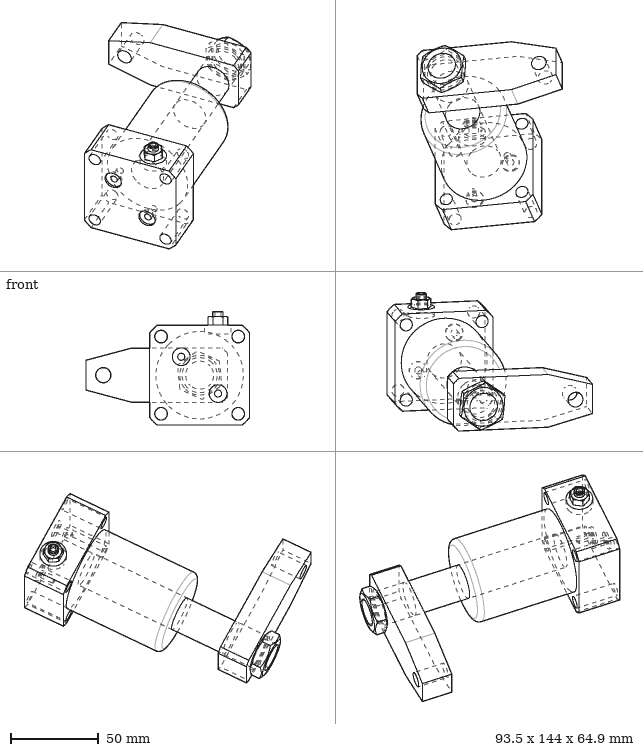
import cadquery as cq
import math


flange_thickness = 25.0
cylinder_end = 85.0
arm_start = 118.0
arm_end = 136.1
nut_end = 144.0

flange_width = 57.0
flange_corner_radius = 37.5
cylinder_diameter = 50.0
cylinder_fillet = 3.0
mount_hole_diameter = 7.0
mount_hole_spacing = 44.0

port_offset = 10.5
port_seal_diameter = 10.1
port_seal_depth = 1.3
port_drill_diameter = 4.0
port_drill_depth = 10.0
drill_point_angle = 118

rod_diameter = 20.0
rod_thread_diameter = 16.0

arm_tip_x = -65.0
arm_heel_x = 16.0
arm_height = 31.0
arm_tip_height = 17.1
arm_taper_length = 25.9
arm_heel_chamfer = 3.0
arm_hole_x = -55.0
arm_hole_diameter = 8.5

nut_across_flats = 24.0
nut_face_diameter = 22.8
nut_turn = 5.6

valve_x = 10.4
valve_y = 9.2
valve_plug_diameter = 15.3
valve_plug_depth = 5.0
valve_across_flats = 10.0
valve_hex_height = 5.0
valve_hex_face_diameter = 10.0
valve_nipple_diameter = 6.0
valve_nipple_height = 2.9
valve_nipple_chamfer = 0.5
valve_bore_diameter = 3.5
valve_bore_depth = 2.9

hex_chamfer_slope = math.tan(math.radians(30))


def plane_at(y):
    """Plane across the axis at station y: local x is X, local y is Z, normal is -Y."""
    return cq.Workplane("XZ", origin=(0, y, 0))


def along_axis(diameter, start, end):
    """Cylinder on the main axis between two stations."""
    return plane_at(start).circle(diameter / 2).extrude(start - end)


def hex_prism(across_flats, height, face_diameter, both_ends):
    """Hexagon standing on Z = 0 with its corners turned down at the top, or at both ends."""
    corner_radius = across_flats / math.sqrt(3)
    face_radius = face_diameter / 2
    drop = (corner_radius - face_radius) * hex_chamfer_slope
    hexagon = cq.Workplane("XY").polygon(6, 2 * corner_radius).extrude(height)
    profile = cq.Workplane("XZ").moveTo(0, 0)
    if both_ends:
        profile = profile.lineTo(face_radius, 0).lineTo(corner_radius, drop)
    else:
        profile = profile.lineTo(corner_radius, 0)
    envelope = (
        profile.lineTo(corner_radius, height - drop)
        .lineTo(face_radius, height)
        .lineTo(0, height)
        .close()
        .revolve(360, (0, 0, 0), (0, 1, 0))
    )
    return hexagon.intersect(envelope)


def port(x, z):
    """Seal recess with a drilled hole that ends in a drill point."""
    seal_radius = port_seal_diameter / 2
    drill_radius = port_drill_diameter / 2
    point_length = drill_radius / math.tan(math.radians(drill_point_angle / 2))
    return (
        cq.Workplane("XY")
        .moveTo(0, 0)
        .lineTo(seal_radius, 0)
        .lineTo(seal_radius, port_seal_depth)
        .lineTo(drill_radius, port_seal_depth)
        .lineTo(drill_radius, port_drill_depth)
        .lineTo(0, port_drill_depth + point_length)
        .close()
        .revolve(360, (0, 0, 0), (0, 1, 0))
        .translate((x, 0, z))
    )


def valve_plug():
    """Disc of the bleed valve that fills its seat flush with the top of the flange."""
    return (
        cq.Workplane("XY", origin=(valve_x, valve_y, flange_width / 2))
        .circle(valve_plug_diameter / 2)
        .extrude(-valve_plug_depth)
    )


def make_housing():
    """Square flange with turned corners, cylinder, mounting holes, ports and bores."""
    square = plane_at(0).rect(flange_width, flange_width).extrude(-flange_thickness)
    flange = square.intersect(along_axis(2 * flange_corner_radius, 0, flange_thickness))
    cylinder = along_axis(cylinder_diameter, flange_thickness, cylinder_end)
    cylinder = cylinder.faces(">Y").edges().fillet(cylinder_fillet)
    mount_holes = (
        plane_at(0)
        .rect(mount_hole_spacing, mount_hole_spacing, forConstruction=True)
        .vertices()
        .circle(mount_hole_diameter / 2)
        .extrude(-flange_thickness)
    )
    rod_bore = along_axis(rod_diameter, flange_thickness, cylinder_end)
    return (
        flange.union(cylinder)
        .cut(mount_holes)
        .cut(rod_bore)
        .cut(port(-port_offset, port_offset))
        .cut(port(port_offset, -port_offset))
        .cut(valve_plug())
    )


def make_rod():
    """Piston rod from the bottom of its bore through the arm, with a thread for the nut."""
    shank = along_axis(rod_diameter, flange_thickness, arm_end)
    thread = along_axis(rod_thread_diameter, arm_end, nut_end)
    return shank.union(thread)


def make_arm():
    """Clamp arm tapering to its tip, with chamfered heel corners."""
    half_height = arm_height / 2
    half_tip = arm_tip_height / 2
    taper_x = arm_tip_x + arm_taper_length
    blank = (
        plane_at(arm_start)
        .moveTo(arm_tip_x, -half_tip)
        .lineTo(taper_x, -half_height)
        .lineTo(arm_heel_x - arm_heel_chamfer, -half_height)
        .lineTo(arm_heel_x, arm_heel_chamfer - half_height)
        .lineTo(arm_heel_x, half_height - arm_heel_chamfer)
        .lineTo(arm_heel_x - arm_heel_chamfer, half_height)
        .lineTo(taper_x, half_height)
        .lineTo(arm_tip_x, half_tip)
        .close()
        .extrude(arm_start - arm_end)
    )
    tip_hole = along_axis(arm_hole_diameter, arm_start, arm_end).translate((arm_hole_x, 0, 0))
    return blank.cut(tip_hole).cut(along_axis(rod_diameter, arm_start, arm_end))


def make_nut():
    """Hexagon nut that holds the arm on the rod thread."""
    hexagon = (
        hex_prism(nut_across_flats, nut_end - arm_end, nut_face_diameter, both_ends=True)
        .rotate((0, 0, 0), (0, 0, 1), 30 + nut_turn)
        .rotate((0, 0, 0), (1, 0, 0), 90)
        .translate((0, nut_end, 0))
    )
    return hexagon.cut(along_axis(rod_thread_diameter, arm_end, nut_end))


def make_bleed_valve():
    """Bleed valve: plug in the flange, hexagon above it and a bored nipple on top."""
    top_of_flange = flange_width / 2
    hexagon = hex_prism(valve_across_flats, valve_hex_height, valve_hex_face_diameter, both_ends=False)
    nipple = (
        cq.Workplane("XY", origin=(0, 0, valve_hex_height))
        .circle(valve_nipple_diameter / 2)
        .extrude(valve_nipple_height)
        .faces(">Z")
        .edges()
        .chamfer(valve_nipple_chamfer)
    )
    bore = (
        cq.Workplane("XY", origin=(0, 0, valve_hex_height + valve_nipple_height))
        .circle(valve_bore_diameter / 2)
        .extrude(-valve_bore_depth)
    )
    head = hexagon.union(nipple).cut(bore).translate((valve_x, valve_y, top_of_flange))
    return valve_plug().union(head)


housing = make_housing()
rod = make_rod()
arm = make_arm()
nut = make_nut()
bleed_valve = make_bleed_valve()

result = cq.Compound.makeCompound(
    [housing.val(), rod.val(), arm.val(), nut.val(), bleed_valve.val()]
)